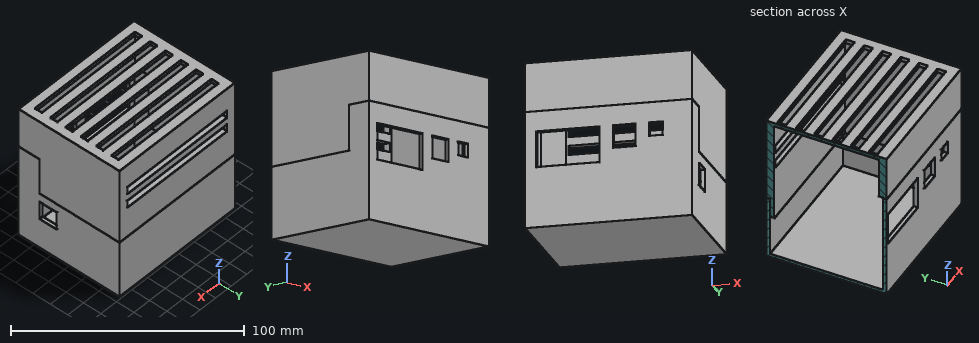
import cadquery as cq

WIDTH = 74.0
DEPTH = 58.0
HEIGHT = 74.0

BASE_WALL = 2.0
LID_WALL = 4.0
ROOF = 2.0

STEP_DEPTH = 12.0
REAR_SEAM_Z = 32.0
FRONT_SEAM_Z = 52.0

SKIRT_DROP = 10.0
SKIRT_BOTTOM = REAR_SEAM_Z - SKIRT_DROP

VENT_MARGIN = 5.0
VENT_WIDTH = 4.0
ROOF_VENT_COUNT = 6
REAR_VENT_COUNT = 2
REAR_VENT_PITCH = 2 * VENT_WIDTH
REAR_VENT_BOTTOM = 49.0

WINDOW_SIZES = [(28.0, 16.0), (10.0, 10.0), (6.0, 6.0)]
WINDOW_TOP = 43.0
WINDOW_GAP = 6.0

CABLE_Y = STEP_DEPTH
CABLE_WIDTH = 10.0
CABLE_HEIGHT = 10.0
CABLE_TOP = 27.0


def block(x, y, z, width, depth, height):
    """Box with its lowest corner at (x, y, z)."""
    return cq.Workplane("XY").box(width, depth, height, centered=False).translate((x, y, z))


def base_envelope():
    """Full lower block plus the raised front portion."""
    rear = block(0, 0, 0, WIDTH, DEPTH, REAR_SEAM_Z)
    front = block(0, 0, 0, WIDTH, STEP_DEPTH, FRONT_SEAM_Z)
    return rear.union(front)


def base_cavity():
    """Interior of the base, open at the top."""
    return block(
        BASE_WALL, BASE_WALL, BASE_WALL,
        WIDTH - 2 * BASE_WALL, DEPTH - 2 * BASE_WALL, HEIGHT,
    )


def lid_cavity():
    """Interior of the lid from the skirt's lower edge to the roof."""
    return block(
        LID_WALL, LID_WALL, SKIRT_BOTTOM,
        WIDTH - 2 * LID_WALL, DEPTH - 2 * LID_WALL, HEIGHT - ROOF - SKIRT_BOTTOM,
    )


def skirt_envelope():
    """Block that fits inside the base, behind the seam step."""
    return block(
        BASE_WALL, STEP_DEPTH, SKIRT_BOTTOM,
        WIDTH - 2 * BASE_WALL, DEPTH - BASE_WALL - STEP_DEPTH, REAR_SEAM_Z - SKIRT_BOTTOM,
    )


def cut_windows(body):
    x = VENT_MARGIN
    for width, height in WINDOW_SIZES:
        body = body.cut(block(x, 0, WINDOW_TOP - height, width, BASE_WALL, height))
        x += width + WINDOW_GAP
    return body


def cut_roof_vents(body):
    length = WIDTH - 2 * VENT_MARGIN
    pitch = (DEPTH - 2 * VENT_MARGIN - VENT_WIDTH) / (ROOF_VENT_COUNT - 1)
    for index in range(ROOF_VENT_COUNT):
        y = VENT_MARGIN + index * pitch
        body = body.cut(block(VENT_MARGIN, y, HEIGHT - ROOF, length, VENT_WIDTH, ROOF))
    return body


def cut_rear_vents(body):
    length = WIDTH - 2 * VENT_MARGIN
    for index in range(REAR_VENT_COUNT):
        z = REAR_VENT_BOTTOM + index * REAR_VENT_PITCH
        body = body.cut(block(VENT_MARGIN, DEPTH - LID_WALL, z, length, LID_WALL, VENT_WIDTH))
    return body


def cable_opening():
    """Cutter that spans both the base wall and the skirt."""
    return block(
        WIDTH - LID_WALL, CABLE_Y, CABLE_TOP - CABLE_HEIGHT,
        LID_WALL, CABLE_WIDTH, CABLE_HEIGHT,
    )


def make_base():
    body = base_envelope().cut(base_cavity()).cut(cable_opening())
    return cut_windows(body)


def make_lid():
    shell = block(0, 0, 0, WIDTH, DEPTH, HEIGHT).cut(base_envelope())
    body = shell.union(skirt_envelope()).cut(lid_cavity()).cut(cable_opening())
    return cut_rear_vents(cut_roof_vents(body))


base = make_base()
lid = make_lid()

result = cq.Compound.makeCompound([base.val(), lid.val()])